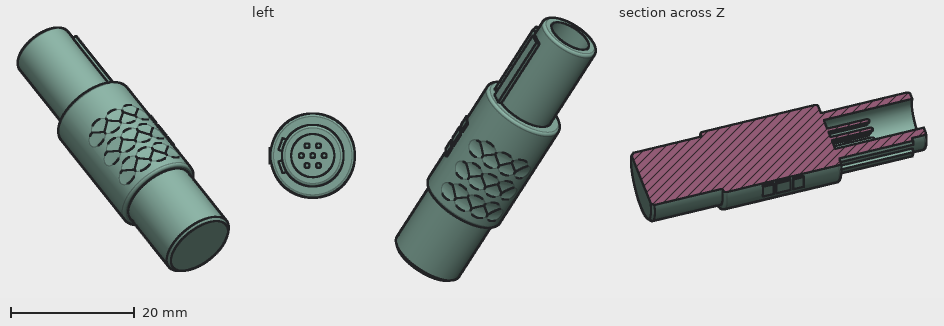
import cadquery as cq
import math

nose_length = 15.0
nose_radius = 5.0
sleeve_length = 20.0
sleeve_radius = 6.85
rear_length = 12.0
rear_radius = 6.0
edge_round = 0.5
rear_chamfer = 0.5

sleeve_start = nose_length
sleeve_end = sleeve_start + sleeve_length
total_length = sleeve_end + rear_length
sleeve_middle = sleeve_start + sleeve_length / 2

bore_radius = 3.5
bore_depth = nose_length
pin_radius = 0.4
pin_length = 7.0
pin_circle_radius = 1.85
outer_pin_count = 6

key_start = 2.5
key_width = 2.0
key_outer_distance = 5.55
key_base_distance = 4.5
key_angle = 20.0

scallop_radius = 4.0
scallop_depth = 0.215
scallop_angle_step = 13.0
scallops_per_side_of_centre = 3
scallop_stagger = 1.0
scallop_row_pitch = 4.5
scallop_row_count = 3
first_scallop_row = sleeve_start + 7.0
scallop_tool_length = 8.0

mark_widths = (1.8, 2.4, 1.8)
mark_gap = 0.45
mark_height = 2.5
mark_projection = 0.15
mark_embed = 0.5


def make_shaft(start, length, radius):
    return cq.Workplane("YZ").workplane(offset=start).circle(radius).extrude(length)


def make_barrel():
    nose = make_shaft(0, nose_length, nose_radius).faces("<X").edges().fillet(edge_round)
    sleeve = make_shaft(sleeve_start, sleeve_length, sleeve_radius).edges("%CIRCLE").fillet(edge_round)
    rear = make_shaft(sleeve_end, rear_length, rear_radius).faces(">X").edges().chamfer(rear_chamfer)
    return nose.union(sleeve).union(rear)


def make_key(angle):
    key_length = sleeve_start - key_start
    key_depth = key_outer_distance - key_base_distance
    key = cq.Workplane("XY").box(key_length, key_depth, key_width, centered=(False, False, True))
    key = key.translate((key_start, key_base_distance, 0))
    return key.rotate((0, 0, 0), (1, 0, 0), angle)


def make_pins():
    centres = [(0, 0)]
    for index in range(outer_pin_count):
        angle = 2 * math.pi * index / outer_pin_count
        centres.append((pin_circle_radius * math.cos(angle), pin_circle_radius * math.sin(angle)))
    shank_length = pin_length - pin_radius
    shank_start = bore_depth - shank_length
    pins = cq.Workplane("YZ").workplane(offset=shank_start).pushPoints(centres)
    shanks = pins.circle(pin_radius).extrude(shank_length)
    domes = pins.sphere(pin_radius)
    return shanks.union(domes)


def make_scallop_tool(x, angle):
    axis_height = sleeve_radius - scallop_depth + scallop_radius
    tool = cq.Workplane("XZ").center(x, axis_height).circle(scallop_radius)
    tool = tool.extrude(scallop_tool_length / 2, both=True)
    return tool.rotate((0, 0, 0), (1, 0, 0), angle)


def cut_scallops(body):
    for row in range(scallop_row_count):
        row_x = first_scallop_row + row * scallop_row_pitch
        for step in range(-scallops_per_side_of_centre, scallops_per_side_of_centre + 1):
            x = row_x + scallop_stagger * (step % 2)
            for side_angle in (0, 180):
                body = body.cut(make_scallop_tool(x, side_angle + step * scallop_angle_step))
    return body


def add_marks(body):
    left = sleeve_middle - (sum(mark_widths) + mark_gap * (len(mark_widths) - 1)) / 2
    base = sleeve_radius - mark_embed
    for width in mark_widths:
        mark = cq.Workplane("XY").box(
            width, mark_embed + mark_projection, mark_height, centered=(False, False, True)
        )
        body = body.union(mark.translate((left, base, 0)))
        left += width + mark_gap
    return body


barrel = make_barrel()
for angle in (key_angle, -key_angle):
    barrel = barrel.union(make_key(angle))
barrel = barrel.cut(make_shaft(0, bore_depth, bore_radius))
barrel = barrel.union(make_pins())
barrel = cut_scallops(barrel)
result = add_marks(barrel)